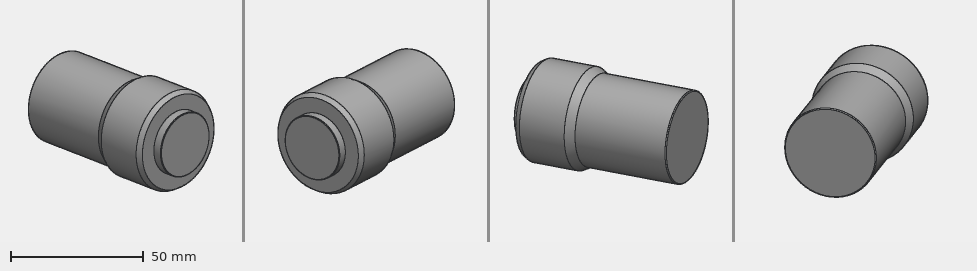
import cadquery as cq

total_length = 66.6
barrel_diameter = 36.1
head_diameter = 40.0
stub_diameter = 25.5

barrel_length = 38.2
flare_length = 3.6
head_end = 62.8
head_chamfer_length = 2.1
head_chamfer_depth = 1.2
edge_chamfer = 0.4
stub_chamfer = 0.25

barrel_radius = barrel_diameter / 2
head_radius = head_diameter / 2
stub_radius = stub_diameter / 2

profile = [
    (0, 0),
    (0, barrel_radius - edge_chamfer),
    (edge_chamfer, barrel_radius),
    (barrel_length, barrel_radius),
    (barrel_length + flare_length, head_radius),
    (head_end - head_chamfer_length, head_radius),
    (head_end, head_radius - head_chamfer_depth),
    (head_end, stub_radius),
    (total_length - stub_chamfer, stub_radius),
    (total_length, stub_radius - stub_chamfer),
    (total_length, 0),
]

result = cq.Workplane("XY").polyline(profile).close().revolve(360, (0, 0, 0), (1, 0, 0))